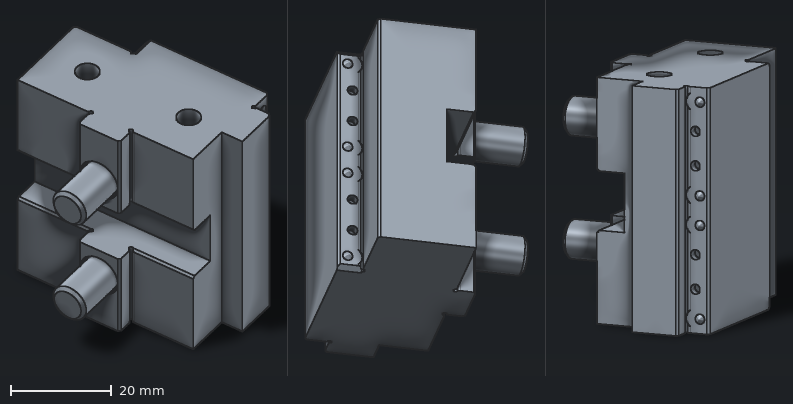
import cadquery as cq
import math

height = 50.0
block_width = 42.5
block_front = 15.0
block_back = 35.0
edge_chamfer = 0.5

total_width = 47.5
flange_front = 25.0

boss_left = 14.0
boss_right = 43.5
boss_back = 40.0
boss_end_chamfer = 1.0
boss_relief_radius = 0.4
boss_relief_offset = 0.1
boss_relief_lead = 0.85

rail_center = 22.5
rail_width = 10.0
rail_front = 11.0
rail_left = rail_center - rail_width / 2
rail_right = rail_center + rail_width / 2
rail_relief_radius = 0.45
rail_relief_offset = 0.15
rail_relief_lead = 0.75

slot_width = 12.0
slot_bottom = 21.0
slot_chamfer = 0.5

dowel_diameter = 8.0
dowel_pitch = 25.0
dowel_chamfer = 0.75
dowel_seat_diameter = 9.0
dowel_seat_depth = 1.0

drill_diameter = 5.0
drill_depth = 10.0
drill_point_angle = 118.0
drill_x_places = (10.0, 34.5)
drill_y = 25.0

pin_offsets = (3.0, 22.0)
pin_body_diameter = 4.0
pin_body_y = 37.0
pin_body_length = 2.0
pin_tip_diameter = 2.0
pin_tip_y = pin_body_y + (pin_body_diameter - pin_tip_diameter) / 2
pin_tip_length = 0.75
side_hole_offsets = (9.0, 16.0)
side_hole_diameter = 2.0
side_hole_depth = 2.0

middle = height / 2


def box(x_range, y_range, z_range):
    """Box between pairs of limits along each axis."""
    (x0, x1), (y0, y1), (z0, z1) = x_range, y_range, z_range
    return cq.Workplane("XY").box(x1 - x0, y1 - y0, z1 - z0, centered=False).translate((x0, y0, z0))


def cone(base, direction, base_radius, length):
    """Pointed cone that starts at base and narrows along direction."""
    solid = cq.Solid.makeCone(base_radius, 0, length, cq.Vector(*base), cq.Vector(*direction))
    return cq.Workplane(obj=solid)


def cylinder(base, direction, radius, length):
    """Cylinder that starts at base and runs along direction."""
    solid = cq.Solid.makeCylinder(radius, length, cq.Vector(*base), cq.Vector(*direction))
    return cq.Workplane(obj=solid)


def mirrored_heights(offsets):
    """Heights at each offset above and below the middle."""
    return [middle + sign * offset for offset in offsets for sign in (-1, 1)]


def make_block():
    """Block, flange, boss and rail, with their long edges chamfered."""
    block = box((0, block_width), (block_front, block_back), (0, height))
    flange = box((block_width, total_width), (flange_front, block_back), (0, height))
    body = block.union(flange).edges("|Z and >Y").chamfer(edge_chamfer)

    boss = box((boss_left, boss_right), (block_back - edge_chamfer, boss_back), (0, height))
    boss = boss.edges("|Z and >Y").chamfer(edge_chamfer)
    rail = box((rail_left, rail_right), (rail_front, block_front + edge_chamfer), (0, height))
    rail = rail.edges("|Z and <Y").chamfer(edge_chamfer)
    return body, boss, rail


def slot_cutter():
    """Cross slot, open to the front and to both sides of the block."""
    z_range = (middle - slot_width / 2, middle + slot_width / 2)
    return box((0, block_width), (0, slot_bottom), z_range)


def chamfer_slot_mouth(body):
    """Break the two long edges where the slot meets the front of the block."""
    mouth_half = slot_width / 2 + slot_chamfer
    floor_half = slot_width / 2
    profile = [
        (block_front, middle - mouth_half),
        (block_front + slot_chamfer, middle - floor_half),
        (block_front + slot_chamfer, middle + floor_half),
        (block_front, middle + mouth_half),
    ]
    return body.cut(cq.Workplane("YZ").polyline(profile).close().extrude(block_width))


def cut_relief(body, corner, x_side, y_side, radius, offset, lead):
    """Undercut an inner corner with a round groove and a shallow lead-in on each face.

    The solid lies on the x_side and the y_side of the corner. The groove axis is
    offset into the solid, and each lead-in starts at the lead distance from the corner.
    """
    x, y = corner
    axis = (x + x_side * offset, y + y_side * offset)
    groove = cq.Workplane("XY").center(*axis).circle(radius).extrude(height)
    lead_points = [corner, (x - x_side * lead, y), axis, (x, y - y_side * lead)]
    lead_in = cq.Workplane("XY").polyline(lead_points).close().extrude(height)
    return body.cut(groove).cut(lead_in)


def cut_corner_reliefs(body):
    """Relieve the inner corners beside the boss and the rail."""
    boss_relief = (boss_relief_radius, boss_relief_offset, boss_relief_lead)
    rail_relief = (rail_relief_radius, rail_relief_offset, rail_relief_lead)
    body = cut_relief(body, (boss_left, block_back), 1, -1, *boss_relief)
    body = cut_relief(body, (boss_right, block_back), -1, -1, *boss_relief)
    body = cut_relief(body, (rail_left, block_front), 1, 1, *rail_relief)
    body = cut_relief(body, (rail_right, block_front), -1, 1, *rail_relief)
    return body


def chamfer_boss_ends(body):
    """Chamfer both ends of the left side of the boss."""
    for end, inward in ((0, 1), (height, -1)):
        profile = [
            (boss_left, end),
            (boss_left + boss_end_chamfer, end),
            (boss_left, end + inward * boss_end_chamfer),
        ]
        wedge = cq.Workplane("XZ", origin=(0, block_back, 0)).polyline(profile).close()
        body = body.cut(wedge.extrude(block_back - boss_back))
    return body


def add_dowels(body):
    """Dowels on the rail, each standing in a shallow counterbore."""
    radius = dowel_diameter / 2
    for z in mirrored_heights((dowel_pitch / 2,)):
        seat = cylinder((rail_center, rail_front, z), (0, 1, 0), dowel_seat_diameter / 2, dowel_seat_depth)
        seat_bottom = rail_front + dowel_seat_depth
        dowel = cylinder((rail_center, 0, z), (0, 1, 0), radius, seat_bottom)
        body = body.cut(seat).union(dowel.faces("<Y").chamfer(dowel_chamfer))
    return body


def drill_top_holes(body):
    """Blind drilled holes with a conical bottom."""
    radius = drill_diameter / 2
    point_length = radius / math.tan(math.radians(drill_point_angle / 2))
    for x in drill_x_places:
        body = body.cut(cylinder((x, drill_y, height), (0, 0, -1), radius, drill_depth))
        body = body.cut(cone((x, drill_y, height - drill_depth), (0, 0, -1), radius, point_length))
    return body


def finish_boss_side(body, face_x, outward):
    """Flush pin bodies with conical tips, and small holes, on one side of the boss."""
    inward_axis = (-outward, 0, 0)
    outward_axis = (outward, 0, 0)
    for z in mirrored_heights(pin_offsets):
        pin_body = cylinder((face_x, pin_body_y, z), inward_axis, pin_body_diameter / 2, pin_body_length)
        tip = cone((face_x, pin_tip_y, z), outward_axis, pin_tip_diameter / 2, pin_tip_length)
        body = body.union(pin_body).union(tip)
    for z in mirrored_heights(side_hole_offsets):
        hole = cylinder((face_x, pin_body_y, z), inward_axis, side_hole_diameter / 2, side_hole_depth)
        body = body.cut(hole)
    return body


body, boss, rail = make_block()
slot = slot_cutter()
body = chamfer_slot_mouth(body.cut(slot)).union(boss).union(rail.cut(slot))
body = cut_corner_reliefs(body)
body = chamfer_boss_ends(body)
body = add_dowels(body)
body = drill_top_holes(body)
body = finish_boss_side(body, boss_left, -1)
body = finish_boss_side(body, boss_right, 1)
result = body